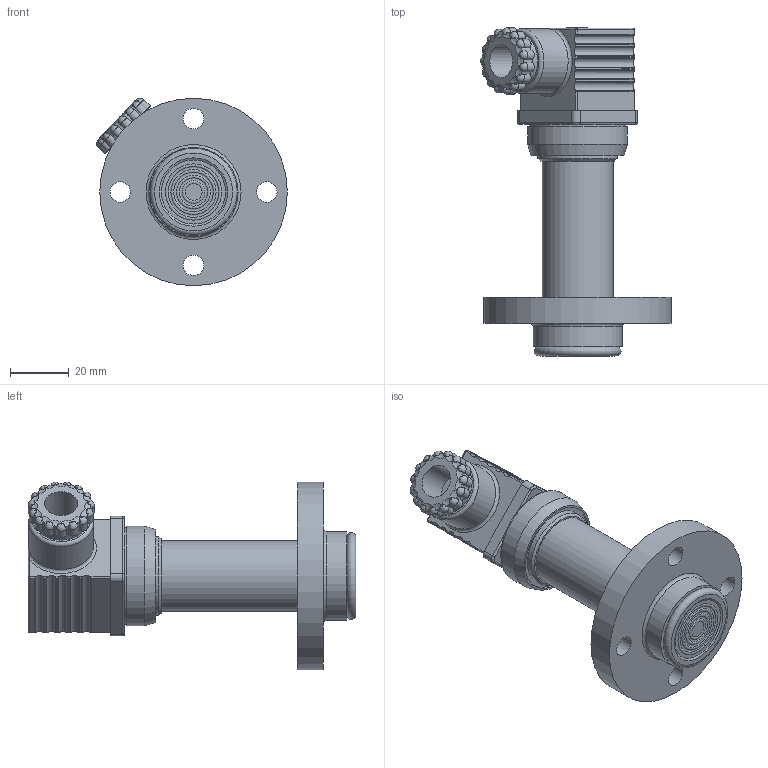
import cadquery as cq
import math


TOTAL_LENGTH = 111.9
SEAL_WIDTH = 3.1
FLANGE_FRONT = 11.1
FLANGE_THICKNESS = 8.9
COLLAR_FRONT = 68.4
COLLAR_CONE_END = 72.2
COLLAR_BACK = 78.3
PLATE_FRONT = 79.0
PLATE_BACK = 83.7

SEAL_RADIUS = 29.7 / 2
SPIGOT_RADIUS = 30.4 / 2
SPIGOT_FILLET = 1.0
FLANGE_RADIUS = 64.0 / 2
BOLT_HOLE_DIAMETER = 7.0
BOLT_CIRCLE_RADIUS = 25.0
BOLT_COUNT = 4

RECESS_RADIUS = 23.3 / 2
RECESS_FLOOR_RADIUS = 21.9 / 2
RECESS_DEPTH = 0.4
CENTRE_DISC_RADIUS = 5.8 / 2
WAVE_WIDTH = 0.96
WAVE_COUNT = 7
WAVE_HEIGHT = 0.15

STEM_RADIUS = 24.2 / 2
SHOULDER_RADIUS = 27.0 / 2
SHOULDER_LENGTH = 1.9
SHOULDER_CHAMFER = 0.8
COLLAR_RADIUS = 34.0 / 2
COLLAR_FRONT_RADIUS = 31.7 / 2
COLLAR_RECESS_RADIUS = 30.4 / 2
COLLAR_RECESS_DEPTH = 0.8
SPACER_RADIUS = 33.0 / 2

CONNECTOR_TURN = 46.5
PLATE_SIDE = 30.0
PLATE_CORNER_RADIUS = 2.0
PLATE_EDGE_FILLET = 0.6
HOUSING_SIDE = 27.8
HOUSING_EDGE_FILLET = 0.5
GROOVE_COUNT = 5
GROOVE_PITCH = 4.0
GROOVE_RADIUS = 1.7
GROOVE_DEPTH = 1.0
LAST_GROOVE_INSET = 3.9
GROOVE_LIP_RADIUS = 0.3

GLAND_RADIUS = 22.1 / 2
GLAND_INSET = 11.29
GLAND_END = 27.5
GLAND_END_FILLET = 1.2
GLAND_ROOT_FILLET = 1.0
NECK_RADIUS = 9.2
NUT_START = 30.9
NUT_FACE = 35.9
NUT_BODY_RADIUS = 10.1
LOBE_COUNT = 15
LOBE_RADIUS = 1.75
LOBE_CIRCLE_RADIUS = 9.6
LOBE_DOME_CENTRE = 34.05
SCALLOP_RADIUS = 6.0
SCALLOP_CIRCLE_RADIUS = 11.0
SCALLOP_CENTRE = NUT_FACE + 5.25
CABLE_BORE_DIAMETER = 11.3
CABLE_BORE_DEPTH = 13.0


def revolve_about_y(profile):
    """Turn a closed half-profile of (radius, Y) about the sensor axis."""
    return profile.close().revolve(360, (0, 0, 0), (0, 1, 0))


def make_diaphragm_end():
    """Seal ring with a rounded rim and a recessed, corrugated diaphragm."""
    rim_radius = SEAL_WIDTH / 2
    rim_centre = SEAL_RADIUS - rim_radius
    profile = cq.Workplane("XY").moveTo(0, RECESS_DEPTH).lineTo(CENTRE_DISC_RADIUS, RECESS_DEPTH)
    for wave in range(WAVE_COUNT):
        start = CENTRE_DISC_RADIUS + wave * WAVE_WIDTH
        side = -1 if wave % 2 == 0 else 1
        crest = (start + WAVE_WIDTH / 2, RECESS_DEPTH + side * WAVE_HEIGHT)
        profile = profile.threePointArc(crest, (start + WAVE_WIDTH, RECESS_DEPTH))
    profile = (
        profile.lineTo(RECESS_FLOOR_RADIUS, RECESS_DEPTH)
        .lineTo(RECESS_RADIUS, 0)
        .lineTo(rim_centre, 0)
        .threePointArc((SEAL_RADIUS, rim_radius), (rim_centre, SEAL_WIDTH))
        .lineTo(0, SEAL_WIDTH)
    )
    return revolve_about_y(profile)


def make_sensor_body():
    """Spigot, flange, stem, shoulder and front-recessed collar as one turned body."""
    flange_back = FLANGE_FRONT + FLANGE_THICKNESS
    shoulder_front = COLLAR_FRONT - SHOULDER_LENGTH
    arc_inset = SPIGOT_FILLET * (1 - math.sqrt(0.5))
    profile = (
        cq.Workplane("XY")
        .moveTo(0, SEAL_WIDTH)
        .lineTo(SPIGOT_RADIUS, SEAL_WIDTH)
        .lineTo(SPIGOT_RADIUS, FLANGE_FRONT - SPIGOT_FILLET)
        .threePointArc(
            (SPIGOT_RADIUS + arc_inset, FLANGE_FRONT - arc_inset),
            (SPIGOT_RADIUS + SPIGOT_FILLET, FLANGE_FRONT),
        )
        .lineTo(FLANGE_RADIUS, FLANGE_FRONT)
        .lineTo(FLANGE_RADIUS, flange_back)
        .lineTo(STEM_RADIUS, flange_back)
        .lineTo(STEM_RADIUS, shoulder_front)
        .lineTo(SHOULDER_RADIUS - SHOULDER_CHAMFER, shoulder_front)
        .lineTo(SHOULDER_RADIUS, shoulder_front + SHOULDER_CHAMFER)
        .lineTo(SHOULDER_RADIUS, COLLAR_FRONT + COLLAR_RECESS_DEPTH)
        .lineTo(COLLAR_RECESS_RADIUS, COLLAR_FRONT + COLLAR_RECESS_DEPTH)
        .lineTo(COLLAR_RECESS_RADIUS, COLLAR_FRONT)
        .lineTo(COLLAR_FRONT_RADIUS, COLLAR_FRONT)
        .lineTo(COLLAR_RADIUS, COLLAR_CONE_END)
        .lineTo(COLLAR_RADIUS, COLLAR_BACK)
        .lineTo(SPACER_RADIUS, COLLAR_BACK)
        .lineTo(SPACER_RADIUS, PLATE_FRONT)
        .lineTo(0, PLATE_FRONT)
    )
    bolt_holes = (
        cq.Workplane("XZ", origin=(0, flange_back, 0))
        .polarArray(BOLT_CIRCLE_RADIUS, 0, 360, BOLT_COUNT)
        .circle(BOLT_HOLE_DIAMETER / 2)
        .extrude(FLANGE_THICKNESS)
    )
    return revolve_about_y(profile).cut(bolt_holes)




def make_plate():
    """Square base plate with rounded corners."""
    return (
        cq.Workplane("XZ", origin=(0, PLATE_BACK, 0))
        .rect(PLATE_SIDE, PLATE_SIDE)
        .extrude(PLATE_BACK - PLATE_FRONT)
        .edges("|Y")
        .fillet(PLATE_CORNER_RADIUS)
        .faces("<Y")
        .edges()
        .fillet(PLATE_EDGE_FILLET)
    )


def make_groove_cutter(side, groove_y):
    """Round-bottomed groove along Z with rounded lips, for the housing side at +X or -X."""
    half_side = HOUSING_SIDE / 2
    centre_offset = GROOVE_RADIUS - GROOVE_DEPTH
    lip_reach = GROOVE_RADIUS + GROOVE_LIP_RADIUS
    lip_rise = centre_offset + GROOVE_LIP_RADIUS
    lip_y = math.sqrt(lip_reach**2 - lip_rise**2)
    touch_x = centre_offset - lip_rise * GROOVE_RADIUS / lip_reach
    touch_y = lip_y * GROOVE_RADIUS / lip_reach
    bisector_x = lip_rise / lip_reach + 1
    bisector_y = -lip_y / lip_reach
    bisector_length = math.hypot(bisector_x, bisector_y)
    lip_mid_x = -GROOVE_LIP_RADIUS * (1 - bisector_x / bisector_length)
    lip_mid_y = lip_y + GROOVE_LIP_RADIUS * bisector_y / bisector_length

    def at(depth_x, offset_y):
        return (side * (half_side + depth_x), groove_y + offset_y)

    return (
        cq.Workplane("XY", origin=(0, 0, -HOUSING_SIDE / 2))
        .moveTo(*at(0, lip_y))
        .threePointArc(at(lip_mid_x, lip_mid_y), at(touch_x, touch_y))
        .threePointArc(at(-GROOVE_DEPTH, 0), at(touch_x, -touch_y))
        .threePointArc(at(lip_mid_x, -lip_mid_y), at(0, -lip_y))
        .close()
        .extrude(HOUSING_SIDE)
    )


def make_housing():
    """Square housing with a row of grip grooves on the two sides beside the gland."""
    housing = (
        cq.Workplane("XZ", origin=(0, TOTAL_LENGTH, 0))
        .rect(HOUSING_SIDE, HOUSING_SIDE)
        .extrude(TOTAL_LENGTH - PLATE_BACK)
        .edges("|Y or >Y")
        .fillet(HOUSING_EDGE_FILLET)
    )
    for side in (-1, 1):
        for index in range(GROOVE_COUNT):
            groove_y = TOTAL_LENGTH - LAST_GROOVE_INSET - index * GROOVE_PITCH
            housing = housing.cut(make_groove_cutter(side, groove_y))
    return housing


def make_gland_barrel(gland_y):
    """Barrel flared into the housing, rounded at its end, with the neck that carries the nut."""
    root = HOUSING_SIDE / 2
    root_inset = GLAND_ROOT_FILLET * (1 - math.sqrt(0.5))
    end_inset = GLAND_END_FILLET * (1 - math.sqrt(0.5))
    barrel = (
        cq.Workplane("XZ")
        .moveTo(0, 0)
        .lineTo(GLAND_RADIUS + GLAND_ROOT_FILLET, 0)
        .lineTo(GLAND_RADIUS + GLAND_ROOT_FILLET, root)
        .threePointArc(
            (GLAND_RADIUS + root_inset, root + root_inset),
            (GLAND_RADIUS, root + GLAND_ROOT_FILLET),
        )
        .lineTo(GLAND_RADIUS, GLAND_END - GLAND_END_FILLET)
        .threePointArc(
            (GLAND_RADIUS - end_inset, GLAND_END - end_inset),
            (GLAND_RADIUS - GLAND_END_FILLET, GLAND_END),
        )
        .lineTo(NECK_RADIUS, GLAND_END)
        .lineTo(NECK_RADIUS, NUT_START)
        .lineTo(0, NUT_START)
        .close()
        .revolve(360, (0, 0, 0), (0, 1, 0))
        .translate((0, gland_y, 0))
    )
    flush_limit = (
        cq.Workplane("XZ", origin=(0, TOTAL_LENGTH - HOUSING_EDGE_FILLET, 0))
        .rect(2 * NUT_FACE, 2 * NUT_FACE)
        .extrude(2 * GLAND_RADIUS + GLAND_ROOT_FILLET)
    )
    flare = barrel.intersect(flush_limit)
    cylinder = (
        cq.Workplane("XY", origin=(0, gland_y, 0))
        .circle(GLAND_RADIUS)
        .extrude(NUT_START)
        .intersect(barrel)
    )
    return cylinder.union(flare)


def make_gland_nut():
    """Nut with domed grip lobes around its rim and a spherical scallop between each pair."""
    nut = cq.Workplane("XY", origin=(0, 0, NUT_START)).circle(NUT_BODY_RADIUS).extrude(NUT_FACE - NUT_START)
    lobe = (
        cq.Workplane("XY", origin=(LOBE_CIRCLE_RADIUS, 0, NUT_START))
        .circle(LOBE_RADIUS)
        .extrude(LOBE_DOME_CENTRE - NUT_START)
        .union(cq.Workplane("XY", origin=(LOBE_CIRCLE_RADIUS, 0, LOBE_DOME_CENTRE)).sphere(LOBE_RADIUS))
    )
    scallop = cq.Workplane("XY", origin=(SCALLOP_CIRCLE_RADIUS, 0, SCALLOP_CENTRE)).sphere(SCALLOP_RADIUS)
    pitch_angle = 360 / LOBE_COUNT
    for index in range(LOBE_COUNT):
        nut = nut.cut(scallop.rotate((0, 0, 0), (0, 0, 1), index * pitch_angle))
    for index in range(LOBE_COUNT):
        nut = nut.union(lobe.rotate((0, 0, 0), (0, 0, 1), (index + 0.5) * pitch_angle))
    return nut


def make_connector():
    """Plate, housing and cable gland, turned to their final angle about the sensor axis."""
    gland_y = TOTAL_LENGTH - GLAND_INSET
    cable_bore = (
        cq.Workplane("XY", origin=(0, gland_y, NUT_FACE - CABLE_BORE_DEPTH))
        .circle(CABLE_BORE_DIAMETER / 2)
        .extrude(CABLE_BORE_DEPTH)
    )
    connector = (
        make_plate()
        .union(make_housing())
        .union(make_gland_barrel(gland_y))
        .union(make_gland_nut().translate((0, gland_y, 0)))
        .cut(cable_bore)
    )
    return connector.rotate((0, 0, 0), (0, 1, 0), -CONNECTOR_TURN)


result = make_diaphragm_end().union(make_sensor_body()).union(make_connector())